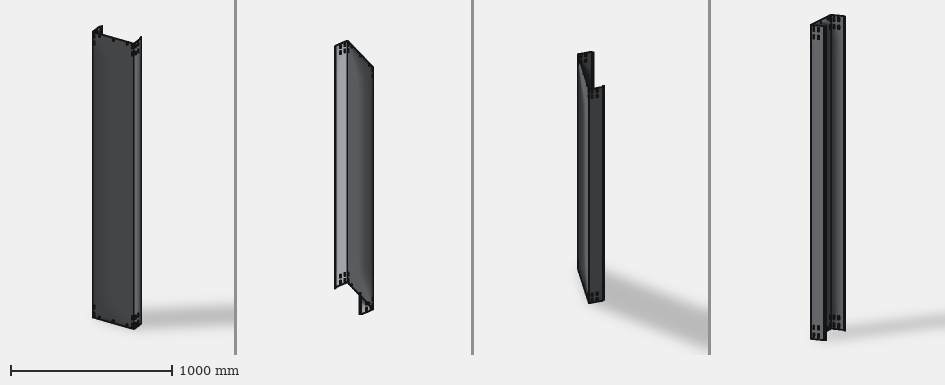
import cadquery as cq

length = 2000.0
width = 300.0
height = 100.0
sheet = 1.0

lip_offset = 8.0
lip_height = 5.0
slope_height = 7.0
flange_length = 10.0

slot_pitch = 50.0
slot_length = slot_pitch / 2
first_slot_distance = slot_pitch / 2
slot_end_distances = (first_slot_distance, first_slot_distance + slot_pitch)
narrow_slot_width = 7.0
wide_slot_width = 9.0
narrow_slot_height = 20.0
wide_slot_height = 52.0
base_slot_inset = 12.0

end_hole_diameter = 9.0
end_hole_distance = 17.0
end_hole_spacing = 100.0

half_width = width / 2
half_length = length / 2


def make_channel():
    """U-shaped sheet with a lip on each wall, extruded along Z and centred on the origin."""
    lip_base = height - lip_height
    wall_top = lip_base - slope_height
    lip_face = half_width - lip_offset
    flange_face = lip_face - sheet
    flange_end = height - flange_length
    right_side = [
        (half_width, 0),
        (half_width, wall_top),
        (lip_face, lip_base),
        (lip_face, height),
        (flange_face, height),
        (flange_face, flange_end),
        (lip_face, flange_end),
        (lip_face, lip_base - sheet),
        (half_width - sheet, wall_top - sheet),
        (half_width - sheet, sheet),
    ]
    left_side = [(-x, y) for x, y in reversed(right_side)]
    profile = cq.Workplane("XY").polyline(right_side + left_side).close()
    return profile.extrude(length).translate((0, -height / 2, -half_length))


def both_ends(distances):
    """Z positions at the given distances from both ends."""
    return [sign * (half_length - distance) for distance in distances for sign in (-1, 1)]


def base_plane():
    """Sketch plane on the outer face of the base."""
    return cq.Workplane("XZ", origin=(0, -height / 2, 0))


def make_base_slots():
    slot_x = half_width - base_slot_inset
    points = [(x, z) for x in (-slot_x, slot_x) for z in both_ends(slot_end_distances)]
    return base_plane().pushPoints(points).slot2D(slot_length, narrow_slot_width, 90).extrude(sheet, both=True)


def make_end_holes():
    columns = (-end_hole_spacing, 0, end_hole_spacing)
    points = [(x, z) for x in columns for z in both_ends([end_hole_distance])]
    return base_plane().pushPoints(points).circle(end_hole_diameter / 2).extrude(sheet, both=True)


def make_wall_slots(slot_height, across):
    """Slots of the given width through both side walls, at one height above the base."""
    points = [(slot_height - height / 2, z) for z in both_ends(slot_end_distances)]
    return cq.Workplane("YZ").pushPoints(points).slot2D(slot_length, across, 90).extrude(width, both=True)


result = (
    make_channel()
    .cut(make_base_slots())
    .cut(make_end_holes())
    .cut(make_wall_slots(narrow_slot_height, narrow_slot_width))
    .cut(make_wall_slots(wide_slot_height, wide_slot_width))
)